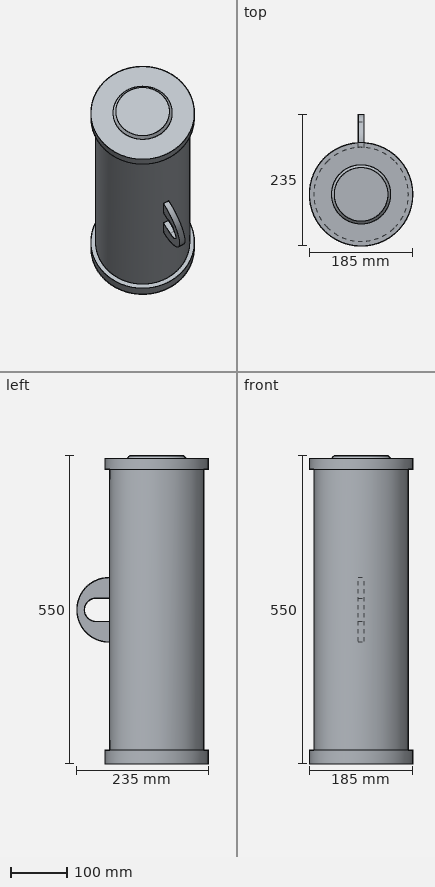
import cadquery as cq

total_height = 550.0
flange_diameter = 185.0
tube_diameter = 168.5
bottom_flange_height = 25.0
top_flange_height = 20.0

boss_height = 5.0
boss_base_diameter = 105.5
boss_top_diameter = 95.5

lug_reach = 142.5
lug_radius = 58.0
lug_thickness = 11.0
lug_center_z = 275.0
slot_width = 41.0
slot_reach = 128.5

flange_top_z = total_height - boss_height
lug_center_y = lug_reach - lug_radius


def make_body():
    """Tube with both flanges and the tapered boss, revolved around Z."""
    top_flange_bottom_z = flange_top_z - top_flange_height
    profile = [
        (0, 0),
        (flange_diameter / 2, 0),
        (flange_diameter / 2, bottom_flange_height),
        (tube_diameter / 2, bottom_flange_height),
        (tube_diameter / 2, top_flange_bottom_z),
        (flange_diameter / 2, top_flange_bottom_z),
        (flange_diameter / 2, flange_top_z),
        (boss_base_diameter / 2, flange_top_z),
        (boss_top_diameter / 2, total_height),
        (0, total_height),
    ]
    return cq.Workplane("XZ").polyline(profile).close().revolve(360, (0, 0), (0, 1))


def make_lug():
    """Round-ended plate with a slot that runs in to the tube wall."""
    plate = (
        cq.Workplane("YZ")
        .center(lug_center_y, lug_center_z)
        .circle(lug_radius)
        .extrude(lug_thickness / 2, both=True)
    )
    slot_length = 2 * (slot_reach - lug_center_y)
    slot = (
        cq.Workplane("YZ")
        .center(lug_center_y, lug_center_z)
        .slot2D(slot_length, slot_width)
        .extrude(lug_thickness, both=True)
    )
    return plate.cut(slot)


result = make_body().union(make_lug())